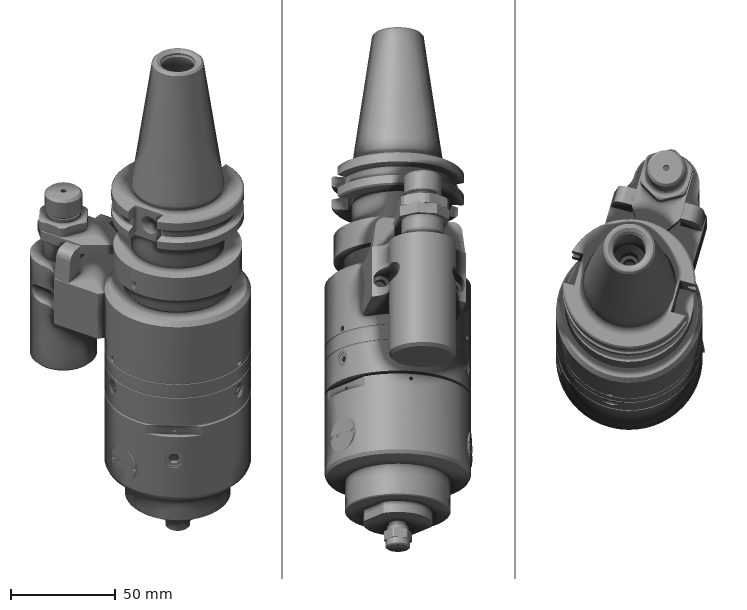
import cadquery as cq
import math


CUT_MARGIN = 1.0

GAUGE_R = 22.225
TAPER_SLOPE = 7 / 48
TAPER_TOP = 68.4
TAPER_CHAMFER = 1.0
GAUGE_GROOVE_TOP = -0.6
GAUGE_GROOVE_R = 21.6
FLANGE_TOP = -2.5
FLANGE_BOTTOM = -19.1
FLANGE_R = 31.75
FLANGE_CHAMFER = 0.8
V_GROOVE_Z = -10.9
V_GROOVE_R = 28.125
V_GROOVE_HALF_OPENING = 3.4
V_GROOVE_HALF_FLOOR = 2.3

DRIVE_SLOT_WIDTH = 16.1
FRONT_SLOT_FLOOR = 25.0
BACK_SLOT_FLOOR = 22.8
DIMPLE_D = 9.5
DIMPLE_DEPTH = 2.7

BORE_MOUTH_R = 10.2
BORE_STEPS = [(8.5, 1.0, 2.0), (7.8, 2.7, 24.0), (4.7, 27.0, 34.0), (3.1, 34.0, 40.0)]
BORE_TIP_DEPTH = 42.0

NECK_R = 22.25
COLLAR_TOP = -34.6
COLLAR_BOTTOM = -47.4
COLLAR_R = 30.75
WAIST_R = 26.0
WAIST_BOTTOM = -56.5
WAIST_FOOT_R = 25.0
BODY_R = 35.0
BODY_TOP = -57.7
BODY_TOP_CHAMFER = 2.0
UPPER_BODY_BOTTOM = -115.1
GAP_R = 29.4
LOWER_BODY_TOP = -116.6
LOWER_BODY_BOTTOM = -155.2
LOWER_EDGE_Z = -156.9
LOWER_EDGE_R = 34.2
NOSE_R = 25.2
NOSE_TOP = -158.9
NOSE_BOTTOM = -174.6
NOSE_CHAMFER = 0.5

RING_GROOVE_TOPS = [-91.2, -98.9]
RING_GROOVE_HEIGHT = 0.8
RING_GROOVE_DEPTH = 0.4

DISC_R = 16.5
DISC_FLATS = 30.0
DISC_ANGLE = -60.0
DISC_BOTTOM = -180.2
STEM_R = 4.4
STEM_BOTTOM = -182.3
SHOULDER_R = 5.2
HEX_NUT_TOP = -184.5
HEX_NUT_BOTTOM = -189.0
HEX_NUT_FLATS = 12.0
HEX_NUT_CORNER_R = 6.75
TIP_R = 5.9
TIP_BOTTOM = TAPER_TOP - 260.9
TIP_CHAMFER = 0.6

CLAMP_ANGLES = [0, 120, 240]
CLAMP_Z = -104.6
CLAMP_HOLE_D = 8.0
CLAMP_HEX_D = 3.46
PIN_HOLE_Z = -89.3
PIN_HOLE_D = 3.0
PIN_HOLE_DEPTH = 3.0
COLLAR_SCREW_ANGLE = 260
COLLAR_SCREW_Z = -43.6
COLLAR_SCREW_D = 4.5
COLLAR_SCREW_HEX_D = 2.31
SIDE_SCREW_ANGLE = 300
SIDE_SCREW_Z = -134.0
SIDE_SCREW_D = 9.5
SIDE_SCREW_HEX_D = 5.77
SCREW_RECESS = 0.5
SCREW_RIM = 0.75
HEX_SOCKET_DEPTH = 3.0

CAP_ANGLES = [120, 255]
CAP_Z = -143.1
CAP_D = 17.0
CAP_OUTER = 35.03
CAP_LENGTH = 4.0
CAP_HOLE_D = 4.0
CAP_SLOT_LENGTH = 8.6
CAP_SLOT_WIDTH = 1.6
CAP_NOTCH_LENGTH = 2.4
CAP_MARK_DEPTH = 0.6

FLAT_ANGLES = [120, 300]
FLAT_WIDTH = 26.9
FLAT_BOTTOM = -121.4
FLAT_PIN_D = 2.0
BACK_PIN_ANGLE = 180

BARREL_X = -65.0
BARREL_R = 16.0
BARREL_TOP = -61.0
BARREL_BOTTOM = -118.7
BARREL_CHAMFER = 1.5
BLOCK_LEFT = -55.5
BLOCK_HALF_WIDTH = 22.9
BLOCK_CORNER_X = -30.4
BLOCK_END = (-28.4, 20.5)
BLOCK_BOTTOM = -86.2
FILLET_R = 10.0
MOUNT_Y = 17.5
MOUNT_Z = -77.6
MOUNT_CBORE_D = 9.5
MOUNT_HOLE_D = 6.0
MOUNT_HOLE_DEPTH = 3.0
MOUNT_SEAT_X = BLOCK_LEFT + 7.0

LUG_LENGTH = 8.0
LUG_INNER_Y = 12.0
LUG_BASE_Y = 22.5
LUG_SIDE_Y = 21.0
LUG_TOP_Y = 16.0
LUG_TOP = -45.6
LUG_SIDE_Z = -49.5
LUG_CORNER_BULGE = 0.8

POST_R = 10.2
PLATE_TOP = -44.8
PLATE_BOTTOM = -49.8
PLATE_HALF_WIDTH = 12.0
PLATE_LEFT = -76.8
PLATE_LEFT_HALF = 4.7
PLATE_CORNER_X = -70.0
PLATE_FILLET = 1.5
PLATE_TAPER_X = -47.0
PLATE_TIP_X = -35.0
PLATE_TIP_HALF = 4.4
PLATE_JOINT_OVERLAP = 1.0
PLUG_NUT_TOP = -39.6
PLUG_NUT_FLATS = 23.0
PLUG_NUT_CORNER_R = 12.7
PLUG_NUT_CHAMFER = 0.5
PLUG_R = 9.0
PLUG_TOP = -26.7
PLUG_CHAMFER = 1.2
PLUG_UNDERCUT_R = 8.4
PLUG_UNDERCUT_TOP = -37.6
PLUG_PIN_D = 3.0
PLUG_PIN_DEPTH = 2.0


def cylinder(radius, bottom, top, x=0.0):
    return cq.Workplane("XY", origin=(x, 0, bottom)).circle(radius).extrude(top - bottom)


def hex_nut(flats, corner_r, bottom, top, x=0.0, turn=0.0):
    """Upright hexagon with corners rounded to corner_r; with turn = 0 two corners lie along X."""
    corners = flats / math.cos(math.radians(30))
    base = cq.Workplane("XY", origin=(x, 0, bottom)).transformed(rotate=(0, 0, turn))
    return base.polygon(6, corners).extrude(top - bottom).intersect(cylinder(corner_r, bottom, top, x))


def radial_plane(angle, z, distance):
    """Work plane at a distance from the tool axis, with its normal pointing radially out."""
    turn = math.radians(angle)
    out = (math.cos(turn), math.sin(turn), 0)
    along = (-math.sin(turn), math.cos(turn), 0)
    return cq.Workplane(cq.Plane(origin=(out[0] * distance, out[1] * distance, z), xDir=along, normal=out))


def axial_profile():
    """Half section of everything that is round about the tool axis, as (radius, z) points."""
    taper_start = TAPER_TOP - TAPER_CHAMFER
    taper_start_r = GAUGE_R - taper_start * TAPER_SLOPE
    return [
        (0, TAPER_TOP),
        (taper_start_r - TAPER_CHAMFER, TAPER_TOP),
        (taper_start_r, taper_start),
        (GAUGE_R, 0),
        (GAUGE_R, GAUGE_GROOVE_TOP),
        (GAUGE_GROOVE_R, GAUGE_GROOVE_TOP),
        (GAUGE_GROOVE_R, FLANGE_TOP),
        (FLANGE_R - FLANGE_CHAMFER, FLANGE_TOP),
        (FLANGE_R, FLANGE_TOP - FLANGE_CHAMFER),
        (FLANGE_R, V_GROOVE_Z + V_GROOVE_HALF_OPENING),
        (V_GROOVE_R, V_GROOVE_Z + V_GROOVE_HALF_FLOOR),
        (V_GROOVE_R, V_GROOVE_Z - V_GROOVE_HALF_FLOOR),
        (FLANGE_R, V_GROOVE_Z - V_GROOVE_HALF_OPENING),
        (FLANGE_R, FLANGE_BOTTOM + FLANGE_CHAMFER),
        (FLANGE_R - FLANGE_CHAMFER, FLANGE_BOTTOM),
        (NECK_R, FLANGE_BOTTOM),
        (NECK_R, COLLAR_TOP),
        (COLLAR_R, COLLAR_TOP),
        (COLLAR_R, COLLAR_BOTTOM),
        (WAIST_R, COLLAR_BOTTOM),
        (WAIST_R, WAIST_BOTTOM),
        (WAIST_FOOT_R, BODY_TOP),
        (BODY_R - BODY_TOP_CHAMFER, BODY_TOP),
        (BODY_R, BODY_TOP - BODY_TOP_CHAMFER),
        (BODY_R, UPPER_BODY_BOTTOM),
        (GAP_R, UPPER_BODY_BOTTOM),
        (GAP_R, LOWER_BODY_TOP),
        (BODY_R, LOWER_BODY_TOP),
        (BODY_R, LOWER_BODY_BOTTOM),
        (LOWER_EDGE_R, LOWER_EDGE_Z),
        (NOSE_R, NOSE_TOP),
        (NOSE_R, NOSE_BOTTOM + NOSE_CHAMFER),
        (NOSE_R - NOSE_CHAMFER, NOSE_BOTTOM),
        (STEM_R, NOSE_BOTTOM),
        (STEM_R, STEM_BOTTOM),
        (SHOULDER_R, STEM_BOTTOM),
        (SHOULDER_R, HEX_NUT_TOP),
        (TIP_R, HEX_NUT_TOP),
        (TIP_R, TIP_BOTTOM + TIP_CHAMFER),
        (TIP_R - TIP_CHAMFER, TIP_BOTTOM),
        (0, TIP_BOTTOM),
    ]


def make_spindle():
    spindle = cq.Workplane("XZ").polyline(axial_profile()).close().revolve(360, (0, 0, 0), (0, 1, 0))
    for top in RING_GROOVE_TOPS:
        bottom = top - RING_GROOVE_HEIGHT
        core = cylinder(BODY_R - RING_GROOVE_DEPTH, bottom, top)
        ring = cylinder(BODY_R + CUT_MARGIN, bottom, top).cut(core)
        spindle = spindle.cut(ring)
    return spindle


def shank_bore():
    """Stepped bore with conical shoulders and a conical end."""
    points = [(0, TAPER_TOP), (BORE_MOUTH_R, TAPER_TOP)]
    for radius, start, end in BORE_STEPS:
        points += [(radius, TAPER_TOP - start), (radius, TAPER_TOP - end)]
    points.append((0, TAPER_TOP - BORE_TIP_DEPTH))
    return cq.Workplane("XZ").polyline(points).close().revolve(360, (0, 0, 0), (0, 1, 0))


def drive_slots():
    height = FLANGE_TOP - FLANGE_BOTTOM
    slots = cq.Workplane("XY")
    for side, floor in [(-1, FRONT_SLOT_FLOOR), (1, BACK_SLOT_FLOOR)]:
        length = FLANGE_R + CUT_MARGIN - floor
        middle = (0, side * (floor + length / 2), FLANGE_BOTTOM + height / 2)
        slots = slots.add(cq.Workplane("XY").box(DRIVE_SLOT_WIDTH, length, height).translate(middle))
    dimple = cq.Solid.makeCone(
        DIMPLE_D / 2, 0, DIMPLE_DEPTH, cq.Vector(0, -FRONT_SLOT_FLOOR, V_GROOVE_Z), cq.Vector(0, 1, 0)
    )
    return slots.add(dimple).combine()


def wrench_disc():
    height = NOSE_BOTTOM - DISC_BOTTOM
    flats = cq.Workplane("XY").box(DISC_FLATS, 2 * DISC_R, height)
    flats = flats.rotate((0, 0, 0), (0, 0, 1), DISC_ANGLE).translate((0, 0, DISC_BOTTOM + height / 2))
    return cylinder(DISC_R, DISC_BOTTOM, NOSE_BOTTOM).intersect(flats)


def set_screw(angle, z, surface_r, hole_d, hex_d):
    """Sunk screw: a round recess, a smaller and deeper second round and a hexagon socket in its floor."""
    ledge = radial_plane(angle, z, surface_r - SCREW_RECESS)
    recess = ledge.circle(hole_d / 2).extrude(3 * SCREW_RECESS)
    screw_face = ledge.circle(hole_d / 2 - SCREW_RIM).extrude(-SCREW_RECESS)
    socket = ledge.polygon(6, hex_d).extrude(-HEX_SOCKET_DEPTH)
    return recess.union(screw_face).union(socket)


def body_cap(angle):
    """Flat round cap with a slotted centre hole and an edge notch at each side."""
    face = radial_plane(angle, CAP_Z, CAP_OUTER)
    cap = face.circle(CAP_D / 2).extrude(-CAP_LENGTH)
    centre_hole = face.circle(CAP_HOLE_D / 2).extrude(-CAP_MARK_DEPTH)
    slot = face.rect(CAP_SLOT_LENGTH, CAP_SLOT_WIDTH).extrude(-CAP_MARK_DEPTH)
    notch_offset = CAP_D / 2 - CAP_NOTCH_LENGTH / 2
    notches = face.pushPoints([(-notch_offset, 0), (notch_offset, 0)])
    notches = notches.rect(CAP_NOTCH_LENGTH, CAP_SLOT_WIDTH).extrude(-CAP_MARK_DEPTH)
    return cap.cut(centre_hole).cut(slot).cut(notches)


def pin_hole(angle, z, diameter):
    """Round blind hole in the body, pointing at the tool axis."""
    floor = radial_plane(angle, z, BODY_R - PIN_HOLE_DEPTH)
    return floor.circle(diameter / 2).extrude(2 * PIN_HOLE_DEPTH)


def body_flat(angle):
    """Chordal flat at the top edge of the lower body, with a pin hole in its middle."""
    distance = math.sqrt(BODY_R**2 - (FLAT_WIDTH / 2) ** 2)
    height = LOWER_BODY_TOP - FLAT_BOTTOM
    middle_z = FLAT_BOTTOM + height / 2
    face = radial_plane(angle, middle_z, distance)
    centre_pin = face.circle(FLAT_PIN_D / 2).extrude(-PIN_HOLE_DEPTH)
    return face.rect(2 * BODY_R, height).extrude(BODY_R).union(centre_pin)


def bracket_block():
    """Block flowing into the barrel through a concave arc on each side."""
    tangent_y = BARREL_R + FILLET_R
    half_angle = math.asin((BLOCK_LEFT - BARREL_X) / FILLET_R) / 2
    arc_x = BARREL_X + FILLET_R * math.sin(half_angle)
    arc_y = tangent_y - FILLET_R * math.cos(half_angle)
    end_x, end_y = BLOCK_END
    outline = (
        cq.Workplane("XY", origin=(0, 0, BLOCK_BOTTOM))
        .moveTo(BARREL_X, -BARREL_R)
        .threePointArc((arc_x, -arc_y), (BLOCK_LEFT, -BLOCK_HALF_WIDTH))
        .lineTo(BLOCK_CORNER_X, -BLOCK_HALF_WIDTH)
        .lineTo(end_x, -end_y)
        .lineTo(end_x, end_y)
        .lineTo(BLOCK_CORNER_X, BLOCK_HALF_WIDTH)
        .lineTo(BLOCK_LEFT, BLOCK_HALF_WIDTH)
        .threePointArc((arc_x, arc_y), (BARREL_X, BARREL_R))
        .close()
    )
    return outline.extrude(BARREL_TOP - BLOCK_BOTTOM)


def mount_screw_cuts():
    """Screw access channels past the barrel, and the screw holes in the block behind them."""
    y_sides = [(-MOUNT_Y, MOUNT_Z), (MOUNT_Y, MOUNT_Z)]
    start = BARREL_X - BARREL_R
    plane = cq.Workplane("YZ", origin=(start, 0, 0)).pushPoints(y_sides)
    channels = plane.circle(MOUNT_CBORE_D / 2).extrude(MOUNT_SEAT_X - start)
    holes = cq.Workplane("YZ", origin=(MOUNT_SEAT_X, 0, 0)).pushPoints(y_sides)
    return channels.union(holes.circle(MOUNT_HOLE_D / 2).extrude(MOUNT_HOLE_DEPTH))


def lug(side):
    """Upright lug with a sloping outer side and a rounded top corner."""
    corner_y = (LUG_TOP_Y + LUG_SIDE_Y) / 2 + LUG_CORNER_BULGE
    corner_z = (LUG_TOP + LUG_SIDE_Z) / 2 + LUG_CORNER_BULGE
    return (
        cq.Workplane("YZ", origin=(BLOCK_LEFT, 0, 0))
        .moveTo(side * LUG_INNER_Y, BARREL_TOP)
        .lineTo(side * LUG_BASE_Y, BARREL_TOP)
        .lineTo(side * LUG_SIDE_Y, LUG_SIDE_Z)
        .threePointArc((side * corner_y, corner_z), (side * LUG_TOP_Y, LUG_TOP))
        .lineTo(side * LUG_INNER_Y, LUG_TOP)
        .close()
        .extrude(LUG_LENGTH)
    )


def connector_plate():
    """Plate around the connector post that narrows to a tongue reaching the waist."""
    half = [
        (PLATE_LEFT, PLATE_LEFT_HALF),
        (PLATE_CORNER_X, PLATE_HALF_WIDTH),
        (PLATE_TAPER_X, PLATE_HALF_WIDTH),
        (PLATE_TIP_X, PLATE_TIP_HALF),
        (PLATE_JOINT_OVERLAP - WAIST_R, PLATE_TIP_HALF),
    ]
    mirrored = [(x, -y) for x, y in reversed(half)]
    base = cq.Workplane("XY", origin=(0, 0, PLATE_BOTTOM))
    plate = base.polyline(half + mirrored).close().extrude(PLATE_TOP - PLATE_BOTTOM)
    return plate.edges("|Z").edges("<<X[0] or <<X[1]").fillet(PLATE_FILLET)


def connector():
    nut = hex_nut(PLUG_NUT_FLATS, PLUG_NUT_CORNER_R, PLATE_TOP, PLUG_NUT_TOP, BARREL_X)
    nut_cone = cylinder(PLUG_NUT_CORNER_R, PLATE_TOP, PLUG_NUT_TOP, BARREL_X)
    nut = nut.intersect(nut_cone.faces(">Z").chamfer(PLUG_NUT_CHAMFER, 2 * PLUG_NUT_CHAMFER))
    plug = cylinder(PLUG_R, PLUG_UNDERCUT_TOP, PLUG_TOP, BARREL_X).faces("<Z or >Z").chamfer(PLUG_CHAMFER)
    plug = plug.union(cylinder(PLUG_UNDERCUT_R, PLUG_NUT_TOP, PLUG_UNDERCUT_TOP, BARREL_X))
    contact_hole = cylinder(PLUG_PIN_D / 2, PLUG_TOP - PLUG_PIN_DEPTH, PLUG_TOP, BARREL_X)
    post = cylinder(POST_R, BARREL_TOP, PLATE_BOTTOM, BARREL_X)
    return post.union(connector_plate()).union(nut).union(plug).cut(contact_hole)


def make_bracket():
    barrel = cylinder(BARREL_R, BARREL_BOTTOM, BARREL_TOP, BARREL_X).faces("<Z").chamfer(BARREL_CHAMFER)
    bracket = barrel.union(bracket_block()).cut(mount_screw_cuts())
    for side in (-1, 1):
        bracket = bracket.union(lug(side))
    return bracket.union(connector())


def make_part():
    part = make_spindle().cut(shank_bore()).cut(drive_slots())
    part = part.union(wrench_disc())
    part = part.union(hex_nut(HEX_NUT_FLATS, HEX_NUT_CORNER_R, HEX_NUT_BOTTOM, HEX_NUT_TOP, turn=90))

    for angle in FLAT_ANGLES:
        part = part.cut(body_flat(angle))
    part = part.cut(pin_hole(BACK_PIN_ANGLE, (LOWER_BODY_TOP + FLAT_BOTTOM) / 2, FLAT_PIN_D))
    for angle in CLAMP_ANGLES:
        part = part.cut(set_screw(angle, CLAMP_Z, BODY_R, CLAMP_HOLE_D, CLAMP_HEX_D))
        part = part.cut(pin_hole(angle, PIN_HOLE_Z, PIN_HOLE_D))
    collar_screw = set_screw(
        COLLAR_SCREW_ANGLE, COLLAR_SCREW_Z, COLLAR_R, COLLAR_SCREW_D, COLLAR_SCREW_HEX_D
    )
    part = part.cut(collar_screw)
    part = part.cut(set_screw(SIDE_SCREW_ANGLE, SIDE_SCREW_Z, BODY_R, SIDE_SCREW_D, SIDE_SCREW_HEX_D))
    for angle in CAP_ANGLES:
        part = part.union(body_cap(angle))

    return part.union(make_bracket())


result = make_part()